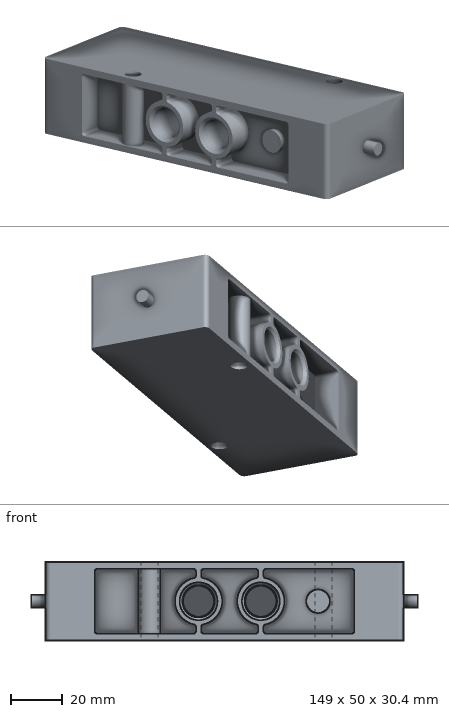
import cadquery as cq

overall_length = 149.0
body_length = 138.0
body_width = 50.0
body_height = 30.4
corner_radius = 2.0

pin_diameter = 5.0

pocket_length = 100.1
pocket_height = 25.0
pocket_depth = 10.0
pocket_corner_radius = 1.2

port_spacing = 24.0
first_port_x = -10.0
port_xs = [first_port_x, first_port_x + port_spacing]
tube_diameter = 18.2
rib_thickness = 2.0
bore_mouth_diameter = 14.6
bore_diameter = 12.5
bore_bottom_diameter = 11.9
bore_chamfer_depth = 1.0
bore_depth = 22.4

pad_x = 36.0
pad_diameter = 9.1
pad_height = 2.2

front_hole_x = -29.0
rear_hole_x = 38.0
hole_offset_y = 20.0
mounting_hole_diameter = 6.5
column_diameter = 8.5

front_y = -body_width / 2
pocket_floor_y = front_y + pocket_depth


def front_cylinder(x, diameter, start_y, length):
    """Cylinder along +Y starting at start_y, centred at height zero."""
    plane = cq.Plane(origin=(x, start_y, 0), xDir=(1, 0, 0), normal=(0, 1, 0))
    return cq.Workplane(plane).circle(diameter / 2).extrude(length)


def make_body():
    block = cq.Workplane("XY").box(body_length, body_width, body_height)
    block = block.edges("|Z").fillet(corner_radius)
    pins = cq.Workplane("YZ").circle(pin_diameter / 2).extrude(overall_length / 2, both=True)
    return block.union(pins)


def pocket_block(centre_x, length):
    """Box as deep and as high as the pocket, with its front on the front face."""
    block = cq.Workplane("XY").box(length, pocket_depth, pocket_height)
    return block.translate((centre_x, front_y + pocket_depth / 2, 0))


def make_pocket():
    """Volume removed from the front face, leaving the tubes and their ribs."""
    pocket = pocket_block(0, pocket_length)
    for x in port_xs:
        pocket = pocket.cut(pocket_block(x, rib_thickness))
        pocket = pocket.cut(front_cylinder(x, tube_diameter, front_y, pocket_depth))
    return pocket.edges("|Y").fillet(pocket_corner_radius)


def make_bore(x):
    """Chamfered, slightly tapered blind bore."""
    mouth_radius = bore_mouth_diameter / 2
    chamfer_end_radius = bore_diameter / 2
    bottom_radius = bore_bottom_diameter / 2
    profile = [
        (0, 0),
        (mouth_radius, 0),
        (chamfer_end_radius, bore_chamfer_depth),
        (bottom_radius, bore_depth),
        (0, bore_depth),
    ]
    bore = cq.Workplane("XY").polyline(profile).close().revolve(360, (0, 0, 0), (0, 1, 0))
    return bore.translate((x, front_y, 0))


def upright_cylinder(x, y, diameter, height):
    """Vertical cylinder centred at height zero."""
    return cq.Workplane("XY").center(x, y).circle(diameter / 2).extrude(height / 2, both=True)


result = make_body().cut(make_pocket())

result = result.union(upright_cylinder(front_hole_x, -hole_offset_y, column_diameter, pocket_height))
result = result.union(front_cylinder(pad_x, pad_diameter, pocket_floor_y - pad_height, pad_height))

for port_x in port_xs:
    result = result.cut(make_bore(port_x))

for hole_x, hole_y in [(front_hole_x, -hole_offset_y), (rear_hole_x, hole_offset_y)]:
    result = result.cut(upright_cylinder(hole_x, hole_y, mounting_hole_diameter, body_height))